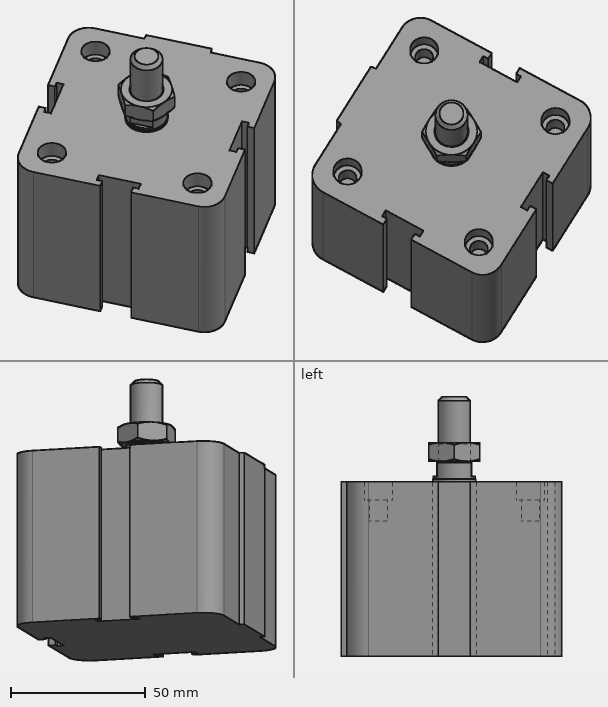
import cadquery as cq
import math


total_height = 96.5
housing_height = 64.9

housing_width = 80.0
corner_radius = 8.0
back_rib_height = 2.0
back_rib_base_width = 25.9
back_rib_top_width = 25.3

slot_mouth_width = 12.0
slot_inner_width = 16.2
slot_lip_thickness = 2.7
slot_depth = 5.4

hole_spacing = 56.5
counterbore_diameter = 10.5
counterbore_depth = 6.8
hole_diameter = 6.7
hole_depth = 14.6

rod_base_diameter = 16.0
rod_base_height = 1.0
rod_diameter = 15.6
thread_diameter = 12.0
thread_chamfer = 1.5
shoulder_chamfer = 0.6
flats_width = 12.9
flats_bottom_gap = 1.9

nut_across_flats = 19.0
nut_thickness = 6.9
nut_bottom_gap = 7.5
nut_bore_chamfer = 0.4
nut_corner_angle = 30.0

half_width = housing_width / 2
nut_bottom = housing_height + nut_bottom_gap
nut_top = nut_bottom + nut_thickness
rod_shoulder = nut_bottom
nut_across_corners = nut_across_flats / math.cos(math.pi / 6)


def housing_block():
    """Rounded square block with the back rib, before slots and holes."""
    block = (
        cq.Workplane("XY")
        .rect(housing_width, housing_width)
        .extrude(housing_height)
        .edges("|Z")
        .fillet(corner_radius)
    )
    base_half = back_rib_base_width / 2
    top_half = back_rib_top_width / 2
    rib_top = half_width + back_rib_height
    rib = (
        cq.Workplane("XY")
        .moveTo(-base_half, 0)
        .lineTo(base_half, 0)
        .lineTo(base_half, half_width)
        .lineTo(top_half, rib_top)
        .lineTo(-top_half, rib_top)
        .lineTo(-base_half, half_width)
        .close()
        .extrude(housing_height)
    )
    return block.union(rib)


def t_slot():
    """Cutter for the T-slot on the -Y side, over the full housing height."""
    mouth_half = slot_mouth_width / 2
    inner_half = slot_inner_width / 2
    lip = -half_width + slot_lip_thickness
    floor = -half_width + slot_depth
    return (
        cq.Workplane("XY")
        .moveTo(-mouth_half, -half_width)
        .lineTo(-mouth_half, lip)
        .lineTo(-inner_half, lip)
        .lineTo(-inner_half, floor)
        .lineTo(inner_half, floor)
        .lineTo(inner_half, lip)
        .lineTo(mouth_half, lip)
        .lineTo(mouth_half, -half_width)
        .close()
        .extrude(housing_height)
    )


def make_housing():
    """Housing with three T-slots and four blind counterbored holes."""
    body = housing_block()
    for angle in (-90, 0, 90):
        body = body.cut(t_slot().rotate((0, 0, 0), (0, 0, 1), angle))
    return (
        body.faces(">Z")
        .workplane(origin=(0, 0, housing_height))
        .rect(hole_spacing, hole_spacing, forConstruction=True)
        .vertices()
        .cboreHole(hole_diameter, counterbore_diameter, counterbore_depth, hole_depth)
    )


def make_rod():
    """Stepped rod standing on the housing, with two wrench flats below the nut."""
    base_radius = rod_base_diameter / 2
    rod_radius = rod_diameter / 2
    thread_radius = thread_diameter / 2
    base_top = housing_height + rod_base_height
    base_chamfer = base_radius - rod_radius
    turned = (
        cq.Workplane("XZ")
        .moveTo(0, housing_height)
        .lineTo(base_radius, housing_height)
        .lineTo(base_radius, base_top - base_chamfer)
        .lineTo(rod_radius, base_top)
        .lineTo(rod_radius, rod_shoulder - shoulder_chamfer)
        .lineTo(rod_radius - shoulder_chamfer, rod_shoulder)
        .lineTo(thread_radius, rod_shoulder)
        .lineTo(thread_radius, total_height - thread_chamfer)
        .lineTo(thread_radius - thread_chamfer, total_height)
        .lineTo(0, total_height)
        .close()
        .revolve(360, (0, 0, 0), (0, 1, 0))
    )
    flats_bottom = housing_height + flats_bottom_gap
    cutter_size = rod_base_diameter
    cutter_offset = (flats_width + cutter_size) / 2
    for side in (-1, 1):
        flat = (
            cq.Workplane("XY", origin=(0, side * cutter_offset, flats_bottom))
            .rect(cutter_size, cutter_size)
            .extrude(rod_shoulder - flats_bottom)
        )
        turned = turned.cut(flat)
    return turned


def make_nut():
    """Hexagon nut with bevelled corners and a bore chamfered at both ends."""
    prism = (
        cq.Workplane("XY", origin=(0, 0, nut_bottom))
        .polygon(6, nut_across_corners)
        .extrude(nut_thickness)
    )
    face_radius = nut_across_flats / 2
    tip_radius = nut_across_corners / 2
    bevel = (tip_radius - face_radius) * math.tan(math.radians(nut_corner_angle))
    envelope = (
        cq.Workplane("XZ")
        .moveTo(0, nut_bottom)
        .lineTo(face_radius, nut_bottom)
        .lineTo(tip_radius, nut_bottom + bevel)
        .lineTo(tip_radius, nut_top - bevel)
        .lineTo(face_radius, nut_top)
        .lineTo(0, nut_top)
        .close()
        .revolve(360, (0, 0, 0), (0, 1, 0))
    )
    bored = prism.intersect(envelope).faces(">Z").workplane(origin=(0, 0, nut_top)).hole(thread_diameter)
    smallest_circles = cq.selectors.RadiusNthSelector(0)
    return bored.edges("%CIRCLE").edges(smallest_circles).chamfer(nut_bore_chamfer)


housing = make_housing()
rod = make_rod()
nut = make_nut()
result = cq.Compound.makeCompound([housing.val(), rod.val(), nut.val()])